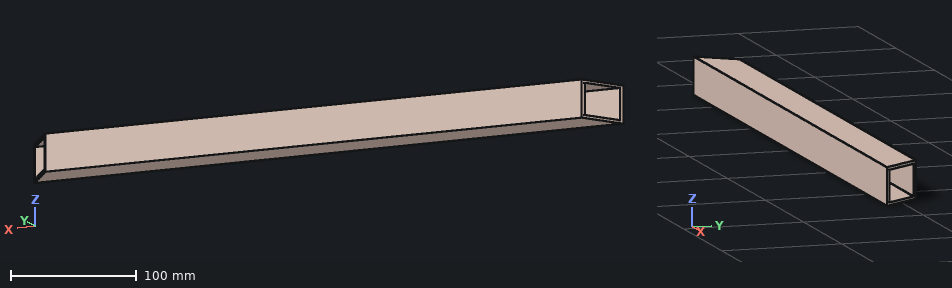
import cadquery as cq
import math

length = 508.0
side = 31.5
wall = 2.5
miter_angle = 36.0

miter_inset = side * math.tan(math.radians(miter_angle))
bore = side - 2 * wall

half_length = length / 2
half_side = side / 2
bar = (
    cq.Workplane("XY")
    .workplane(offset=-half_side)
    .moveTo(-half_length, -half_side)
    .lineTo(half_length, -half_side)
    .lineTo(half_length - miter_inset, half_side)
    .lineTo(-half_length + miter_inset, half_side)
    .close()
    .extrude(side)
)

bore_cutter = cq.Workplane("XY").box(length, bore, bore)

result = bar.cut(bore_cutter)